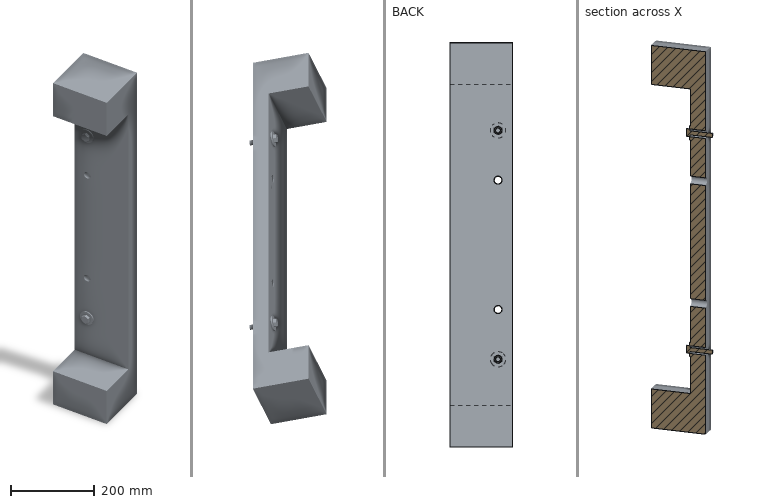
import cadquery as cq

length = 970.0
width = 150.0
depth = 140.0
wall_thickness = 40.0
end_height = 100.0

axis_x = 35.0
bolt_offset = 274.5
hole_offset = 155.0
hole_diameter = 18.0

shank_diameter = 12.0
shank_projection = 17.0
washer_diameter = 37.0
washer_thickness = 3.0
head_across_corners = 21.0
head_height = 8.0

wall_front = depth - wall_thickness
mid_height = length / 2


def make_bar():
    bar = cq.Workplane("XY").box(width, depth, length, centered=False)
    opening = (
        cq.Workplane("XY")
        .box(width, wall_front, length - 2 * end_height, centered=False)
        .translate((0, 0, end_height))
    )
    return bar.cut(opening)


def plane_at(y, z):
    """Workplane facing -Y, centred on the bolt axis at height z."""
    return cq.Workplane("XZ", origin=(axis_x, y, z))


def make_bolt(z):
    shank_length = wall_thickness + shank_projection
    shank = plane_at(wall_front, z).circle(shank_diameter / 2).extrude(-shank_length)
    washer = plane_at(wall_front, z).circle(washer_diameter / 2).extrude(washer_thickness)
    head = (
        plane_at(wall_front - washer_thickness, z)
        .transformed(rotate=(0, 0, 90))
        .polygon(6, head_across_corners)
        .extrude(head_height)
    )
    return shank.union(washer).union(head)


def make_hole(z):
    return plane_at(wall_front, z).circle(hole_diameter / 2).extrude(-wall_thickness)


result = make_bar()
for side in (-1, 1):
    bolt_z = mid_height + side * bolt_offset
    result = result.cut(make_hole(mid_height + side * hole_offset))
    result = result.cut(make_hole(bolt_z))
    result = result.union(make_bolt(bolt_z))